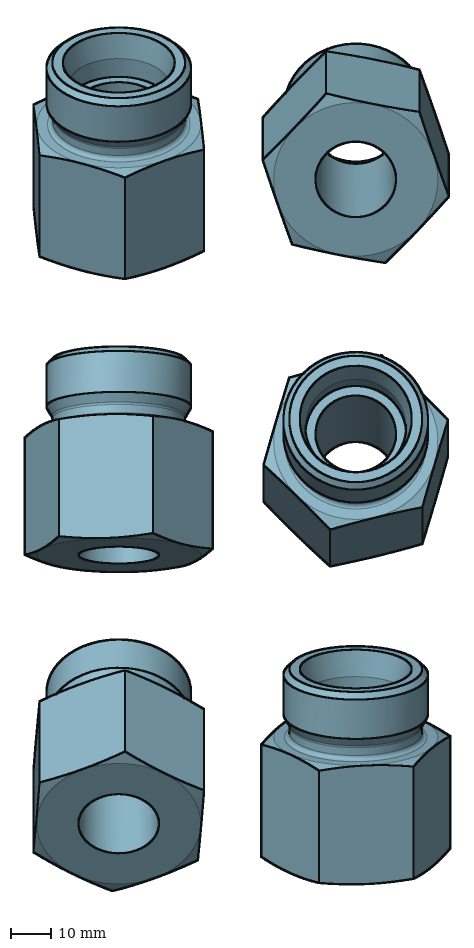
import cadquery as cq
import math

total_height = 49.5

across_flats = 41.0
hex_height = 31.5
hex_turn = -0.3
chamfer_circle_diameter = 40.8
chamfer_angle = 15.0

spigot_diameter = 36.0
spigot_chamfer = 1.5
neck_diameter = 33.0
relief_top = 37.6
relief_angle = 30.0
relief_fillet = 1.2

mouth_diameter = 27.8
socket_diameter = 25.0
socket_depth = 12.0
cone_half_angle = 12.0
through_diameter = 20.0


def make_hex_body():
    """Hexagonal prism with both ends conically chamfered at the corners."""
    across_corners = across_flats / math.cos(math.radians(30))
    prism = (
        cq.Workplane("XY")
        .polygon(6, across_corners)
        .extrude(hex_height)
        .rotate((0, 0, 0), (0, 0, 1), 90 + hex_turn)
    )
    end_radius = chamfer_circle_diameter / 2
    trim_radius = across_corners / 2 + 0.5
    drop = (trim_radius - end_radius) * math.tan(math.radians(chamfer_angle))
    trim = (
        cq.Workplane("XZ")
        .moveTo(0, 0)
        .lineTo(end_radius, 0)
        .lineTo(trim_radius, drop)
        .lineTo(trim_radius, hex_height - drop)
        .lineTo(end_radius, hex_height)
        .lineTo(0, hex_height)
        .close()
        .revolve(360, (0, 0, 0), (0, 1, 0))
    )
    return prism.intersect(trim)


def make_spigot():
    """Round spigot with a chamfered top and a filleted relief neck."""
    neck_radius = neck_diameter / 2
    spigot_radius = spigot_diameter / 2
    slope = math.radians(relief_angle)
    taper_height = (spigot_radius - neck_radius) / math.tan(slope)
    neck_top = relief_top - taper_height

    tangent = relief_fillet * math.tan(slope / 2)
    arc_center_radius = neck_radius + relief_fillet
    arc_start_height = neck_top - tangent

    def taper_arc_point(angle):
        return (
            arc_center_radius - relief_fillet * math.cos(angle),
            arc_start_height + relief_fillet * math.sin(angle),
        )

    base_arc_middle = (
        arc_center_radius - relief_fillet * math.cos(math.pi / 4),
        hex_height + relief_fillet * (1 - math.sin(math.pi / 4)),
    )
    return (
        cq.Workplane("XZ")
        .moveTo(0, hex_height)
        .lineTo(arc_center_radius, hex_height)
        .threePointArc(base_arc_middle, (neck_radius, hex_height + relief_fillet))
        .lineTo(neck_radius, arc_start_height)
        .threePointArc(taper_arc_point(slope / 2), taper_arc_point(slope))
        .lineTo(spigot_radius, relief_top)
        .lineTo(spigot_radius, total_height - spigot_chamfer)
        .lineTo(spigot_radius - spigot_chamfer, total_height)
        .lineTo(0, total_height)
        .close()
        .revolve(360, (0, 0, 0), (0, 1, 0))
    )


def make_bore():
    """Conical mouth, cylindrical socket and through hole as one cutter."""
    mouth_radius = mouth_diameter / 2
    socket_radius = socket_diameter / 2
    through_radius = through_diameter / 2
    cone_depth = (mouth_radius - socket_radius) / math.tan(math.radians(cone_half_angle))
    socket_floor = total_height - socket_depth
    return (
        cq.Workplane("XZ")
        .moveTo(0, 0)
        .lineTo(through_radius, 0)
        .lineTo(through_radius, socket_floor)
        .lineTo(socket_radius, socket_floor)
        .lineTo(socket_radius, total_height - cone_depth)
        .lineTo(mouth_radius, total_height)
        .lineTo(0, total_height)
        .close()
        .revolve(360, (0, 0, 0), (0, 1, 0))
    )


result = make_hex_body().union(make_spigot()).cut(make_bore())